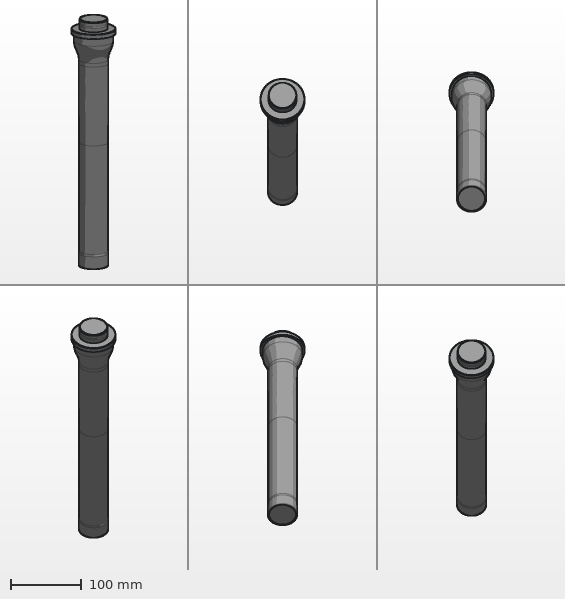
import cadquery as cq

overall_height = 363.8
foot_edge_z = 1.0
foot_bottom_z = 1.5
collar_top_z = 20.5
collar_cone_top_z = 23.5
taper_bottom_z = 183.0
taper_top_z = 298.5
neck_top_z = 304.0
shoulder_top_z = 331.5
flange_bottom_z = 342.5
flange_top_z = 349.2
plug_step_bottom_z = 355.5
plug_step_top_z = 357.5

tube_diameter = 41.5
collar_diameter = 42.0
dome_diameter = 38.0
neck_diameter = 42.0
head_diameter = 56.0
flange_diameter = 62.5
plug_diameter = 40.0
plug_tip_diameter = 39.5

foot_fillet = 0.7
flange_chamfer = 0.7
plug_chamfer_height = 1.5
plug_chamfer_width = 0.7


def make_housing():
    """Turned tube with a foot collar, long taper, flared shoulder and flange."""
    tube_radius = tube_diameter / 2
    collar_radius = collar_diameter / 2
    dome_radius = dome_diameter / 2
    neck_radius = neck_diameter / 2
    head_radius = head_diameter / 2
    flange_radius = flange_diameter / 2

    straight_up = (0, 1)

    profile = (
        cq.Workplane("XZ")
        .moveTo(0, 0)
        .lineTo(dome_radius, foot_edge_z)
        .lineTo(dome_radius, foot_bottom_z)
        .lineTo(collar_radius - foot_fillet, foot_bottom_z)
        .tangentArcPoint((collar_radius, foot_bottom_z + foot_fillet), relative=False)
        .lineTo(collar_radius, collar_top_z)
        .lineTo(tube_radius, collar_cone_top_z)
        .lineTo(tube_radius, taper_bottom_z)
        .lineTo(neck_radius, taper_top_z)
        .lineTo(neck_radius, neck_top_z)
        .spline(
            [(head_radius, shoulder_top_z)],
            tangents=[straight_up, straight_up],
            includeCurrent=True,
        )
        .lineTo(head_radius, flange_bottom_z)
        .lineTo(flange_radius, flange_bottom_z)
        .lineTo(flange_radius, flange_top_z - flange_chamfer)
        .lineTo(flange_radius - flange_chamfer, flange_top_z)
        .lineTo(0, flange_top_z)
        .close()
    )
    return profile.revolve(360, (0, 0), (0, 1))


def make_plug():
    """Stepped round plug standing on the flange."""
    plug_radius = plug_diameter / 2
    tip_radius = plug_tip_diameter / 2
    profile = (
        cq.Workplane("XZ")
        .moveTo(0, flange_top_z)
        .lineTo(plug_radius, flange_top_z)
        .lineTo(plug_radius, plug_step_bottom_z)
        .lineTo(tip_radius, plug_step_top_z)
        .lineTo(tip_radius, overall_height - plug_chamfer_height)
        .lineTo(tip_radius - plug_chamfer_width, overall_height)
        .lineTo(0, overall_height)
        .close()
    )
    return profile.revolve(360, (0, 0), (0, 1))


housing = make_housing()
plug = make_plug()

result = cq.Compound.makeCompound([housing.val(), plug.val()])